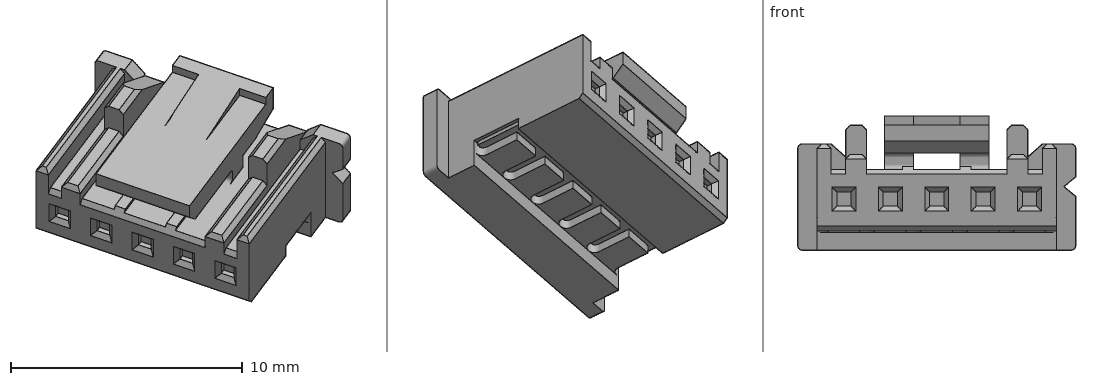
import cadquery as cq


WIDTH = 12.0
DEPTH = 8.0
HEIGHT = 5.8
EDGE = 0.2

BODY_WIDTH = 10.32
BODY_BOTTOM = 0.84
FLOOR_TOP = 3.49
BODY_MID = 2.21
REAR_FOOT_Y = 5.88

FLANGE_THICKNESS = 0.73
FLANGE_TOP = 4.6
FLANGE_INNER_TOP = 4.03
NOTCH_DEPTH = 0.5
NOTCH_HALF_HEIGHT = 0.42
NOTCH_Z = 2.75

WALL_THICKNESS = 0.6
RIB_INNER_X = 3.02
RIB_OUTER_X = 3.94
RIB_LOW_TOP = 4.14
RIB_HIGH_TOP = 5.4
RIB_REAR_TOP = 3.92
RIB_STEP_Y = 4.12
RIB_SLOPE_Y = 5.58

LATCH_WIDTH = 4.52
LATCH_TOP = 5.4
LATCH_SETBACK = 0.02
LATCH_BOTTOM = 4.19
LATCH_FRONT_BEVEL = 0.53
LATCH_REAR_BOTTOM = 4.57
LATCH_REAR_SLOPE_Y = 6.24
RAMP_WIDTH = 1.99
LEG_LENGTH = 1.0
STRIP_WIDTH = 0.49
STRIP_HEIGHT = 0.12

CONTACTS = 5
PITCH = 2.0
SOCKET_MOUTH = 1.03
SOCKET_BORE = 0.61
SOCKET_DEPTH = 0.45
LEAD_IN_ANGLE = 45
BAY_FRONT_Y = 3.49
BAY_TOP = 1.42
SHELF_BOTTOM = 1.21
SHELF_REAR_GAP = 0.07
FINGER_BOTTOM = 0.77
FINGER_FRONT_Y = 3.94
FINGER_WIDTH = 1.35

BODY_HALF = BODY_WIDTH / 2
WALL_INNER_X = BODY_HALF - WALL_THICKNESS
FLANGE_Y = DEPTH - FLANGE_THICKNESS
LIP_Y = FLANGE_Y + LATCH_SETBACK
BAY_WIDTH = CONTACTS * PITCH
CONTACT_XS = [(i - (CONTACTS - 1) / 2) * PITCH for i in range(CONTACTS)]


def box(x0, x1, y0, y1, z0, z1):
    """Box given by its limits along each axis."""
    return cq.Workplane("XY").box(x1 - x0, y1 - y0, z1 - z0, centered=False).translate((x0, y0, z0))


def side_prism(points, x0, x1):
    """Prism with a (Y, Z) outline, running along X from x0 to x1."""
    return cq.Workplane("YZ").workplane(offset=x0).polyline(points).close().extrude(x1 - x0)


def both_sides(half):
    """The given solid together with its mirror image across X = 0."""
    return half.union(half.mirror("YZ"))


def make_core():
    outline = [
        (0, BODY_BOTTOM + EDGE),
        (EDGE, BODY_BOTTOM),
        (BAY_FRONT_Y, BODY_BOTTOM),
        (BAY_FRONT_Y, BAY_TOP),
        (REAR_FOOT_Y, BAY_TOP),
        (REAR_FOOT_Y, 0),
        (DEPTH, 0),
        (DEPTH, FLOOR_TOP),
        (EDGE, FLOOR_TOP),
        (0, FLOOR_TOP - EDGE),
    ]
    return side_prism(outline, -BODY_HALF, BODY_HALF)


def make_walls():
    wall = box(WALL_INNER_X, BODY_HALF, 0, DEPTH, BODY_MID, FLANGE_TOP)
    return both_sides(wall.faces(">Z").edges("|Y or <Y").chamfer(EDGE))


def make_ribs():
    low = box(RIB_INNER_X, RIB_OUTER_X, 0, RIB_STEP_Y + EDGE, BODY_MID, RIB_LOW_TOP)
    low = low.faces(">Z").edges("|Y or <Y").chamfer(EDGE)
    high = box(RIB_INNER_X, RIB_OUTER_X, RIB_STEP_Y, DEPTH, BODY_MID, RIB_HIGH_TOP)
    high = high.faces(">Z").edges("|Y").chamfer(EDGE)
    above_slope = [(RIB_SLOPE_Y, RIB_HIGH_TOP), (DEPTH, RIB_HIGH_TOP), (DEPTH, RIB_REAR_TOP)]
    high = high.cut(side_prism(above_slope, RIB_INNER_X, RIB_OUTER_X))
    return both_sides(low.union(high))


def make_flange():
    right_outline = [
        (0, 0),
        (WIDTH / 2, 0),
        (WIDTH / 2, FLANGE_TOP),
        (WALL_INNER_X, FLANGE_TOP),
        (RIB_OUTER_X, FLANGE_INNER_TOP),
        (RIB_OUTER_X, FLOOR_TOP),
        (0, FLOOR_TOP),
    ]
    half = cq.Workplane("XZ", origin=(0, DEPTH, 0)).polyline(right_outline).close().extrude(FLANGE_THICKNESS)
    flange = both_sides(half.faces(">X").edges("|Y").fillet(EDGE))
    notch_outline = [
        (WIDTH / 2, NOTCH_Z - NOTCH_HALF_HEIGHT),
        (WIDTH / 2 - NOTCH_DEPTH, NOTCH_Z),
        (WIDTH / 2, NOTCH_Z + NOTCH_HALF_HEIGHT),
    ]
    notch = cq.Workplane("XZ", origin=(0, DEPTH, 0)).polyline(notch_outline).close().extrude(FLANGE_THICKNESS)
    return flange.cut(notch)


def make_latch():
    half_width = LATCH_WIDTH / 2
    plate_outline = [
        (LATCH_SETBACK, LATCH_TOP),
        (LATCH_SETBACK, LATCH_BOTTOM + LATCH_FRONT_BEVEL),
        (LATCH_SETBACK + LATCH_FRONT_BEVEL, LATCH_BOTTOM),
        (LATCH_REAR_SLOPE_Y, LATCH_BOTTOM),
        (DEPTH, LATCH_REAR_BOTTOM),
        (DEPTH, HEIGHT),
        (LIP_Y, HEIGHT),
        (LIP_Y, LATCH_TOP),
    ]
    plate = side_prism(plate_outline, -half_width, half_width)
    ramp_outline = [(RIB_STEP_Y, LATCH_TOP), (LIP_Y, LATCH_TOP), (LIP_Y, HEIGHT)]
    ramp = side_prism(ramp_outline, -RAMP_WIDTH / 2, RAMP_WIDTH / 2)

    leg = (
        cq.Workplane("YZ", origin=(RAMP_WIDTH / 2, 0, 0))
        .moveTo(RIB_STEP_Y - EDGE, FLOOR_TOP)
        .radiusArc((RIB_STEP_Y, FLOOR_TOP + EDGE), -EDGE)
        .lineTo(RIB_STEP_Y, LATCH_BOTTOM - EDGE)
        .radiusArc((RIB_STEP_Y - EDGE, LATCH_BOTTOM), -EDGE)
        .lineTo(RIB_STEP_Y + LEG_LENGTH, LATCH_BOTTOM)
        .lineTo(RIB_STEP_Y + LEG_LENGTH, FLOOR_TOP)
        .close()
        .extrude(half_width - RAMP_WIDTH / 2)
    )

    strip_outline = [
        (EDGE, FLOOR_TOP),
        (EDGE + STRIP_HEIGHT, FLOOR_TOP + STRIP_HEIGHT),
        (RIB_STEP_Y, FLOOR_TOP + STRIP_HEIGHT),
        (RIB_STEP_Y, FLOOR_TOP),
    ]
    strip = side_prism(strip_outline, RAMP_WIDTH / 2, RAMP_WIDTH / 2 + STRIP_WIDTH)
    return plate.union(ramp).union(both_sides(leg.union(strip)))


def make_fingers():
    """Shelf in the underside bay with one finger below each contact."""
    half_bay = BAY_WIDTH / 2
    shelf = box(-half_bay, half_bay, BAY_FRONT_Y, REAR_FOOT_Y - SHELF_REAR_GAP, SHELF_BOTTOM, BAY_TOP)
    fingers = box(-half_bay, half_bay, FINGER_FRONT_Y, REAR_FOOT_Y, FINGER_BOTTOM, BAY_TOP)
    round_radius = (PITCH - FINGER_WIDTH) / 2
    for i in range(CONTACTS + 1):
        gap_x = i * PITCH - half_bay
        gap_end_y = REAR_FOOT_Y - round_radius
        gap_left = gap_x - round_radius
        gap_right = gap_x + round_radius
        gap = box(gap_left, gap_right, FINGER_FRONT_Y, gap_end_y, FINGER_BOTTOM, BAY_TOP)
        gap_round = (
            cq.Workplane("XY", origin=(gap_x, gap_end_y, FINGER_BOTTOM))
            .circle(round_radius)
            .extrude(BAY_TOP - FINGER_BOTTOM)
        )
        fingers = fingers.cut(gap).cut(gap_round)
    return shelf.union(fingers)


def make_sockets():
    """Square contact openings with a tapered lead-in at the mating face."""
    centres = [(x, BODY_MID) for x in CONTACT_XS]
    taper_depth = (SOCKET_MOUTH - SOCKET_BORE) / 2
    front = cq.Workplane("XZ")
    bores = front.pushPoints(centres).rect(SOCKET_BORE, SOCKET_BORE).extrude(-SOCKET_DEPTH)
    mouths = front.pushPoints(centres).rect(SOCKET_MOUTH, SOCKET_MOUTH)
    lead_ins = mouths.extrude(-taper_depth, taper=LEAD_IN_ANGLE)
    return bores.union(lead_ins)


result = (
    make_core()
    .union(make_walls())
    .union(make_ribs())
    .union(make_flange())
    .union(make_latch())
    .union(make_fingers())
    .cut(make_sockets())
)